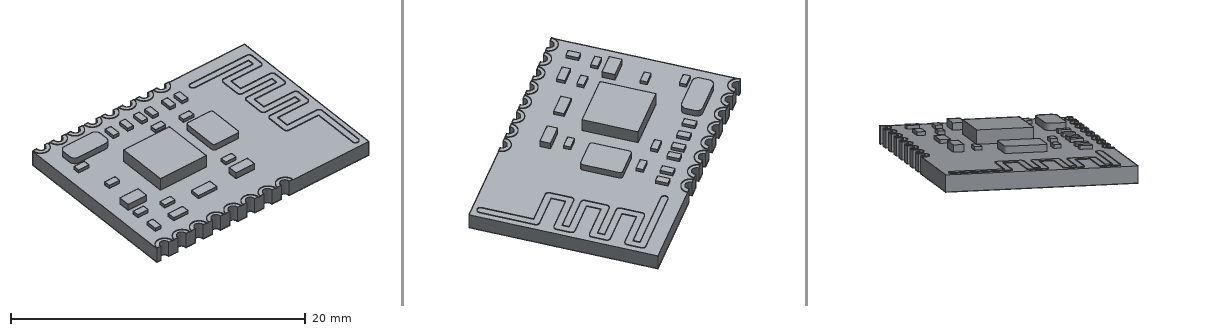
import cadquery as cq

BOARD_WIDTH = 13.5
BOARD_LENGTH = 18.5
BOARD_THICKNESS = 1.2
COPPER_THICKNESS = 0.05

PAD_COUNT = 8
PAD_PITCH = 1.5
FIRST_PAD_Y = 0.69
PAD_RADIUS = 0.67
PAD_HOLE_RADIUS = 0.34
HOLE_INSET = 0.05

TRACE_WIDTH = 0.5
ANTENNA_START_X = 1.32
ANTENNA_END_X = 12.87
ANTENNA_FOLD_COUNT = 3
ANTENNA_FOLD_WIDTH = 1.0
ANTENNA_FOLD_PITCH = 2.53
ANTENNA_TOP_Y = BOARD_LENGTH - 0.66
ANTENNA_FOLD_DEPTH = 2.83
ANTENNA_TAIL_LENGTH = 4.91

CHIP_HEIGHT = 1.0
TALL_HEIGHT = 0.5
LOW_HEIGHT = 0.25

CHIP_SIZE = (4.0, 4.0)
CAN_SIZE = (3.0, 2.27)
CAN_CORNER_RADIUS = 0.2
CRYSTAL_SIZE = (1.5, 3.2)
CRYSTAL_CORNER_RADIUS = 0.42
SMALL_LONG = 0.9
SMALL_SHORT = 0.5
INDUCTOR_SIZE = (0.6, 1.25)
CAPACITOR_SIZE = (0.75, 1.6)
WIDE_CAPACITOR_SIZE = (0.92, 1.6)

CHIP_CENTRE = (6.72, 6.15)
CAN_CENTRE = (6.18, 10.76)
CRYSTAL_CENTRE = (2.18, 2.83)
INDUCTOR_CENTRE = (11.56, 3.41)
TALL_CAPACITOR_CENTRE = (10.59, 9.74)
LOW_CAPACITOR_CENTRE = (10.68, 6.39)
WIDE_CAPACITOR_CENTRE = (8.58, 1.88)
LEFT_COLUMN_X = 1.92
LEFT_COLUMN_YS = (11.4, 10.34, 8.84, 7.88, 6.65, 5.4)
LYING_CENTRES = [(LEFT_COLUMN_X, y) for y in LEFT_COLUMN_YS] + [(11.52, 1.34)]
UPRIGHT_CENTRES = [
    (3.74, 10.41),
    (3.42, 8.22),
    (9.13, 9.77),
    (10.15, 3.62),
    (6.14, 2.01),
    (9.82, 1.54),
    (3.53, 1.43),
]


def corner_plane(z):
    """Horizontal workplane whose origin is the lower left corner of the board."""
    return cq.Workplane(origin=(-BOARD_WIDTH / 2, -BOARD_LENGTH / 2, z))


def make_board():
    return corner_plane(0).rect(BOARD_WIDTH, BOARD_LENGTH, centered=False).extrude(BOARD_THICKNESS)


def edge_positions(inset):
    """Pad centres along both long edges, set inward from the edge by the given inset."""
    edge_xs = (inset, BOARD_WIDTH - inset)
    return [(x, FIRST_PAD_Y + i * PAD_PITCH) for x in edge_xs for i in range(PAD_COUNT)]


def make_pads():
    """Copper discs centred on the long edges, trimmed to the board outline."""
    discs = corner_plane(BOARD_THICKNESS).pushPoints(edge_positions(0)).circle(PAD_RADIUS)
    outline = corner_plane(BOARD_THICKNESS).rect(BOARD_WIDTH, BOARD_LENGTH, centered=False)
    return discs.extrude(COPPER_THICKNESS).intersect(outline.extrude(COPPER_THICKNESS))


def make_edge_holes():
    holes = corner_plane(0).pushPoints(edge_positions(HOLE_INSET)).circle(PAD_HOLE_RADIUS)
    return holes.extrude(BOARD_THICKNESS + COPPER_THICKNESS)


def make_antenna():
    """Round-cornered trace swept along a square meander, with a long tail at its start."""
    fold_y = ANTENNA_TOP_Y - ANTENNA_FOLD_DEPTH
    path = [(ANTENNA_START_X, ANTENNA_TOP_Y - ANTENNA_TAIL_LENGTH)]
    for i in range(ANTENNA_FOLD_COUNT):
        rise_x = ANTENNA_START_X + i * ANTENNA_FOLD_PITCH
        fall_x = rise_x + ANTENNA_FOLD_WIDTH
        next_rise_x = rise_x + ANTENNA_FOLD_PITCH
        path += [(rise_x, ANTENNA_TOP_Y), (fall_x, ANTENNA_TOP_Y)]
        path += [(fall_x, fold_y), (next_rise_x, fold_y)]
    path += [(next_rise_x, ANTENNA_TOP_Y), (ANTENNA_END_X, ANTENNA_TOP_Y)]
    trace = corner_plane(BOARD_THICKNESS).polyline(path).wire().offset2D(TRACE_WIDTH / 2, "arc")
    return trace.extrude(COPPER_THICKNESS)


def make_blocks(size, centres, height):
    """Rectangular component bodies standing on the board."""
    return corner_plane(BOARD_THICKNESS).pushPoints(centres).rect(*size).extrude(height)


def make_rounded_block(size, centre, corner_radius):
    return make_blocks(size, [centre], TALL_HEIGHT).edges("|Z").fillet(corner_radius)


components = [
    make_blocks(CHIP_SIZE, [CHIP_CENTRE], CHIP_HEIGHT),
    make_rounded_block(CAN_SIZE, CAN_CENTRE, CAN_CORNER_RADIUS),
    make_rounded_block(CRYSTAL_SIZE, CRYSTAL_CENTRE, CRYSTAL_CORNER_RADIUS),
    make_blocks((SMALL_LONG, SMALL_SHORT), LYING_CENTRES, LOW_HEIGHT),
    make_blocks((SMALL_SHORT, SMALL_LONG), UPRIGHT_CENTRES, LOW_HEIGHT),
    make_blocks(INDUCTOR_SIZE, [INDUCTOR_CENTRE], LOW_HEIGHT),
    make_blocks(CAPACITOR_SIZE, [TALL_CAPACITOR_CENTRE], TALL_HEIGHT),
    make_blocks(CAPACITOR_SIZE, [LOW_CAPACITOR_CENTRE], LOW_HEIGHT),
    make_blocks(WIDE_CAPACITOR_SIZE, [WIDE_CAPACITOR_CENTRE], TALL_HEIGHT),
]

result = make_board().union(make_pads()).cut(make_edge_holes()).union(make_antenna())
for component in components:
    result = result.union(component)